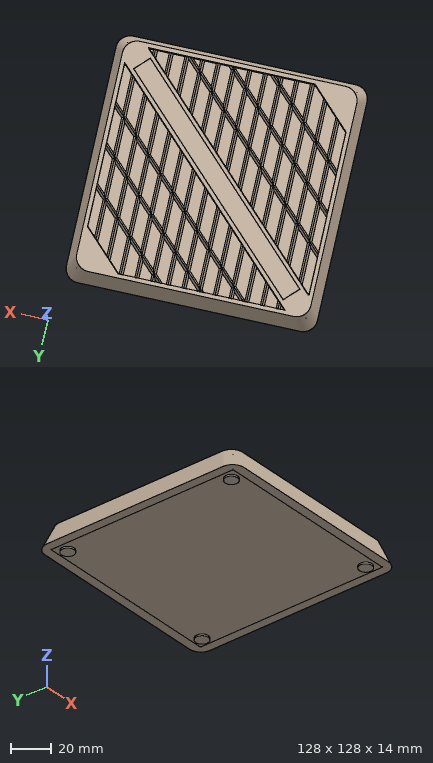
import cadquery as cq
import math

base_side = 128.0
side_inset = 4.4
top_side = base_side - 2 * side_inset
corner_radius = 8.0
foot_height = 1.0
total_height = 14.0
housing_height = total_height - foot_height

window_side = 115.0
window_depth = 3.0
bar_half_width = 7.0
diagonal_ridge_pitch = 15.0
ridge_bands = 4
window_far_edge = bar_half_width + ridge_bands * diagonal_ridge_pitch

ridge_width = 2.0
ridge_height = ridge_width
straight_ridge_span = 104.0
straight_ridge_count = 14
straight_ridge_pitch = straight_ridge_span / (straight_ridge_count - 1)
crossing_length = 1.5 * base_side
window_floor = housing_height - window_depth

strip_length = 138.5
strip_width = 9.9
strip_thickness = 1.0
strip_sink = 0.5
strip_top = housing_height - strip_sink
strip_bottom = strip_top - strip_thickness

cavity_roof = 4.0
base_block_side = 117.0
base_block_height = housing_height - cavity_roof
foot_diameter = 8.0
foot_spacing = 105.2

DIAGONAL_ANGLE = -45
SIDES = (1, -1)


def box_from(bottom, length, width, height):
    """Box centred on the Z axis, standing on the given level."""
    return cq.Workplane("XY").workplane(offset=bottom).rect(length, width).extrude(height)


def along_diagonal(shape):
    return shape.rotate((0, 0, 0), (0, 0, 1), DIAGONAL_ANGLE)


def make_shell():
    """Leaning block whose slanting corner edges are rounded."""
    lean_angle = math.degrees(math.atan(side_inset / housing_height))
    block = cq.Workplane("XY").rect(base_side, base_side).extrude(housing_height, taper=lean_angle)
    return block.edges("not #Z").fillet(corner_radius)


def make_window(side):
    """Part of the square window that lies in one diagonal band beside the bar."""
    band_width = window_far_edge - bar_half_width
    band_middle = (window_far_edge + bar_half_width) / 2
    square = box_from(window_floor, window_side, window_side, window_depth)
    band = box_from(window_floor, crossing_length, band_width, window_depth)
    return square.intersect(along_diagonal(band.translate((0, side * band_middle, 0))))


def make_ridge():
    """Triangular ridge that runs along X."""
    return (
        cq.Workplane("YZ", origin=(-crossing_length / 2, 0, window_floor))
        .moveTo(-ridge_width / 2, 0)
        .lineTo(ridge_width / 2, 0)
        .lineTo(0, ridge_height)
        .close()
        .extrude(crossing_length)
    )


def make_ridge_lattice():
    """Ridges along Y at an even pitch, crossed by ridges along the diagonal."""
    ridge = make_ridge()
    straight_ridge = ridge.rotate((0, 0, 0), (0, 0, 1), 90)
    first_x = -straight_ridge_span / 2
    ridges = []
    for index in range(straight_ridge_count):
        ridges.append(straight_ridge.translate((first_x + index * straight_ridge_pitch, 0, 0)))
    for side in SIDES:
        for index in range(1, ridge_bands):
            offset = side * (bar_half_width + index * diagonal_ridge_pitch)
            ridges.append(along_diagonal(ridge.translate((0, offset, 0))))
    lattice = ridges[0]
    for other_ridge in ridges[1:]:
        lattice = lattice.union(other_ridge)
    return lattice


def make_housing():
    housing = make_shell()
    lattice = make_ridge_lattice()
    for side in SIDES:
        window = make_window(side)
        housing = housing.cut(window.cut(lattice))
    strip_recess = box_from(strip_bottom, strip_length, strip_width, strip_thickness + strip_sink)
    housing = housing.cut(along_diagonal(strip_recess))
    return housing.cut(box_from(0, base_block_side, base_block_side, base_block_height))


def make_strip():
    return along_diagonal(box_from(strip_bottom, strip_length, strip_width, strip_thickness))


def make_base():
    block = box_from(0, base_block_side, base_block_side, base_block_height)
    feet = (
        cq.Workplane("XY")
        .rect(foot_spacing, foot_spacing, forConstruction=True)
        .vertices()
        .circle(foot_diameter / 2)
        .extrude(-foot_height)
    )
    return block.union(feet)


housing = make_housing()
strip = make_strip()
base = make_base()

result = cq.Compound.makeCompound([housing.solids().val(), strip.val(), base.solids().val()])